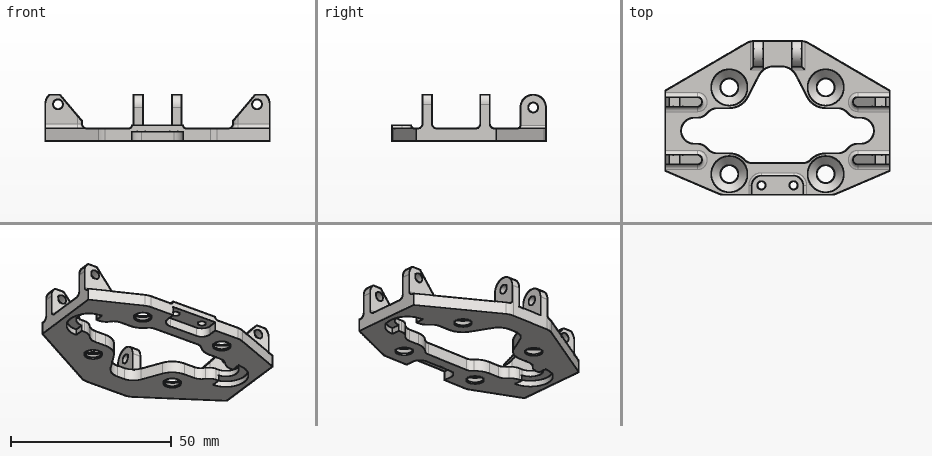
import cadquery as cq
import math

margin = 0.1

half_length = 35.0
back_y = 28.0
front_y = -20.0
side_half_width = 12.5
back_edge_half = 8.5
front_edge_half = 17.5
plate_thickness = 4.0
plate_corner_radius = 5.0

screw_x = 15.0
screw_y = 13.5
screw_hole_diameter = 5.5
screw_head_diameter = 11.3
screw_rim_depth = 0.5
screw_cone_depth = (screw_head_diameter - screw_hole_diameter) / 2

lug_thickness = 3.0
lug_top_z = 14.5
pin_hole_diameter = 3.0

side_lug_y = 9.0
side_lug_length = 11.5
side_lug_nose_radius = lug_thickness / 2
side_lug_fillet = 1.5
side_pin_inset = 4.0
side_pin_z = 11.5
side_lug_round_radius = 4.0
side_lug_top_end = 4.6
side_lug_nose_z = 6.3

back_lug_x = 6.0
back_lug_radius = 4.0
back_lug_fillet = 1.0
back_pin_y = back_y - back_lug_radius
back_pin_z = lug_top_z - back_lug_radius

pad_half_width = 8.0
pad_depth = 6.0
pad_corner_radius = 3.0
pad_top_z = 5.0
pad_fillet = 1.0
pad_pocket_height = 3.0
pad_hole_diameter = 2.5
pad_hole_x = pad_half_width - pad_corner_radius
pad_hole_y = front_y + pad_depth - pad_corner_radius

ledge_bottom_z = 2.0
ledge_radius = 7.0

slot_end_radius = 4.0
slot_end_x = 26.0
screw_wall_radius = 6.5
slot_mouth_x = 25.0
slot_mouth_radius = 4.0
slot_mouth_fillet = 4.0
screw_wall_fillet = 3.0
window_front_y = -10.0
window_back_y = 20.0
window_back_arc_x = 1.3
window_back_radius = 5.0


def mirrored(shape):
    """The shape together with its mirror image across X = 0."""
    return shape.union(shape.mirror("YZ"))


def fillet_base(part, x_range, y_range, radius):
    """Fillets the edges on the plate's top face whose centers lie within the two ranges."""
    edges = cq.selectors.BoxSelector(
        (x_range[0], y_range[0], plate_thickness - margin),
        (x_range[1], y_range[1], plate_thickness + margin),
    )
    return part.edges(edges).fillet(radius)


def plate_outline(height):
    corners = [
        (-half_length, -side_half_width),
        (-front_edge_half, front_y),
        (front_edge_half, front_y),
        (half_length, -side_half_width),
        (half_length, side_half_width),
        (back_edge_half, back_y),
        (-back_edge_half, back_y),
        (-half_length, side_half_width),
    ]
    outline = cq.Workplane("XY").polyline(corners).close().extrude(height)
    return outline.edges("|Z and (<Y or >Y)").fillet(plate_corner_radius)


def plate_stock():
    """Rectangular plate, trimmed to its outline once the raised features are on it."""
    return cq.Workplane("XY").box(
        2 * half_length, back_y - front_y, plate_thickness, centered=(True, False, False)
    ).translate((0, front_y, 0))


def side_lug(y):
    """Lug on the -X end, with a rounded outer corner and a sloping, round-nosed inner edge."""
    outer_x = -half_length
    pin_x = outer_x + side_pin_inset
    nose_x = outer_x + side_lug_length
    rise = lug_top_z - side_pin_z
    round_end_x = pin_x - math.sqrt(side_lug_round_radius**2 - rise**2)
    round_mid_angle = math.pi - math.asin(rise / side_lug_round_radius) / 2
    round_mid = (
        pin_x + side_lug_round_radius * math.cos(round_mid_angle),
        side_pin_z + side_lug_round_radius * math.sin(round_mid_angle),
    )
    profile = (
        cq.Workplane("XZ", origin=(0, y, 0))
        .moveTo(outer_x, 0)
        .lineTo(outer_x, side_pin_z)
        .threePointArc(round_mid, (round_end_x, lug_top_z))
        .lineTo(outer_x + side_lug_top_end, lug_top_z)
        .lineTo(nose_x, side_lug_nose_z)
        .lineTo(nose_x, 0)
        .close()
        .extrude(lug_thickness / 2, both=True)
    )
    footprint = (
        cq.Workplane("XY")
        .moveTo(outer_x, y - lug_thickness / 2)
        .lineTo(nose_x - side_lug_nose_radius, y - lug_thickness / 2)
        .threePointArc((nose_x, y), (nose_x - side_lug_nose_radius, y + lug_thickness / 2))
        .lineTo(outer_x, y + lug_thickness / 2)
        .close()
        .extrude(lug_top_z)
    )
    return profile.intersect(footprint)


def add_side_lugs(part):
    for y in (-side_lug_y, side_lug_y):
        part = part.union(mirrored(side_lug(y)))
    inner_x = half_length - side_lug_length - margin
    outer_x = half_length - margin
    for y in (-side_lug_y, side_lug_y):
        y_range = (y - lug_thickness, y + lug_thickness)
        part = fillet_base(part, (-outer_x, -inner_x), y_range, side_lug_fillet)
        part = fillet_base(part, (inner_x, outer_x), y_range, side_lug_fillet)
    pin_x = half_length - side_pin_inset
    pins = (
        cq.Workplane("XZ")
        .pushPoints([(-pin_x, side_pin_z), (pin_x, side_pin_z)])
        .circle(pin_hole_diameter / 2)
        .extrude(side_lug_y + lug_thickness, both=True)
    )
    return part.cut(pins)


def add_back_lugs(part):
    """One round-topped block, filleted onto the plate and then split into two lugs."""
    half_width = back_lug_x + lug_thickness / 2
    gap_half = back_lug_x - lug_thickness / 2
    front_face_y = back_y - 2 * back_lug_radius
    block = (
        cq.Workplane("YZ")
        .moveTo(front_face_y, 0)
        .lineTo(front_face_y, back_pin_z)
        .threePointArc((back_pin_y, lug_top_z), (back_y, back_pin_z))
        .lineTo(back_y, 0)
        .close()
        .extrude(half_width, both=True)
    )
    part = part.union(block)
    x_range = (-half_width - margin, half_width + margin)
    part = fillet_base(part, x_range, (front_face_y - margin, back_y - margin), back_lug_fillet)
    gap = cq.Workplane("XY", origin=(0, back_pin_y, plate_thickness)).box(
        2 * gap_half, 4 * back_lug_radius, lug_top_z, centered=(True, True, False)
    )
    pin = (
        cq.Workplane("YZ")
        .center(back_pin_y, back_pin_z)
        .circle(pin_hole_diameter / 2)
        .extrude(half_width, both=True)
    )
    return part.cut(gap).cut(pin)


def pad_block(height):
    return (
        cq.Workplane("XY")
        .box(2 * pad_half_width, pad_depth, height, centered=(True, False, False))
        .translate((0, front_y, 0))
        .edges("|Z and >Y")
        .fillet(pad_corner_radius)
    )


def add_front_pad(part):
    """Pad with a concave fillet as tall as its step, so it is filleted overheight and then leveled."""
    part = part.union(pad_block(2 * pad_top_z))
    x_range = (-pad_half_width - margin, pad_half_width + margin)
    y_range = (front_y + margin, front_y + pad_depth + margin)
    part = fillet_base(part, x_range, y_range, pad_fillet)
    part = part.cut(pad_block(2 * pad_top_z).translate((0, 0, pad_top_z)))
    holes = (
        cq.Workplane("XY")
        .pushPoints([(-pad_hole_x, pad_hole_y), (pad_hole_x, pad_hole_y)])
        .circle(pad_hole_diameter / 2)
        .extrude(pad_top_z)
    )
    return part.cut(pad_block(pad_pocket_height)).cut(holes)


def concave_fillet(wall_x, wall_y, wall_radius, edge_y, fillet_radius):
    """Ends of the fillet between a round wall and the edge y = edge_y it meets towards +X.

    Returns the point on the wall and the point on the edge.
    """
    center_y = edge_y + math.copysign(fillet_radius, edge_y - wall_y)
    reach = wall_radius + fillet_radius
    center_x = wall_x + math.sqrt(reach**2 - (center_y - wall_y) ** 2)
    share = wall_radius / reach
    on_wall = (wall_x + (center_x - wall_x) * share, wall_y + (center_y - wall_y) * share)
    return on_wall, (center_x, edge_y)


def window():
    """Opening bounded by tangent lines and arcs, drawn for X < 0 and mirrored."""
    screw_edge_y = screw_y - screw_wall_radius
    mouth_center_y = slot_end_radius + slot_mouth_radius
    front_wall, front_edge = concave_fillet(
        -screw_x, -screw_y, screw_wall_radius, window_front_y, screw_wall_fillet
    )
    mouth_wall, mouth_edge = concave_fillet(
        -slot_mouth_x, mouth_center_y, slot_mouth_radius, screw_edge_y, slot_mouth_fillet
    )

    dx = screw_x - window_back_arc_x
    dy = window_back_y - window_back_radius - screw_y
    tangent_turn = math.acos((screw_wall_radius + window_back_radius) / math.hypot(dx, dy))
    normal_angle = math.atan2(dy, dx) - tangent_turn
    normal = (math.cos(normal_angle), math.sin(normal_angle))
    slant_start = (-screw_x + screw_wall_radius * normal[0], screw_y + screw_wall_radius * normal[1])
    slant_end = (
        -window_back_arc_x - window_back_radius * normal[0],
        window_back_y - window_back_radius - window_back_radius * normal[1],
    )

    half = (
        cq.Workplane("XY")
        .moveTo(0, window_front_y)
        .lineTo(*front_edge)
        .tangentArcPoint(front_wall, relative=False)
        .tangentArcPoint((-screw_x, -screw_edge_y), relative=False)
        .lineTo(mouth_edge[0], -mouth_edge[1])
        .tangentArcPoint((mouth_wall[0], -mouth_wall[1]), relative=False)
        .tangentArcPoint((-slot_mouth_x, -slot_end_radius), relative=False)
        .lineTo(-slot_end_x, -slot_end_radius)
        .tangentArcPoint((-slot_end_x, slot_end_radius), relative=False)
        .lineTo(-slot_mouth_x, slot_end_radius)
        .tangentArcPoint(mouth_wall, relative=False)
        .tangentArcPoint(mouth_edge, relative=False)
        .lineTo(-screw_x, screw_edge_y)
        .tangentArcPoint(slant_start, relative=False)
        .lineTo(*slant_end)
        .tangentArcPoint((-window_back_arc_x, window_back_y), relative=False)
        .lineTo(0, window_back_y)
        .close()
        .extrude(lug_top_z)
    )
    return mirrored(half)


def slot_end_recess():
    """Half-round recess under the -X slot end, mirrored to the other end."""
    recess = (
        cq.Workplane("XY")
        .moveTo(-slot_end_x, -ledge_radius)
        .threePointArc((-slot_end_x - ledge_radius, 0), (-slot_end_x, ledge_radius))
        .close()
        .extrude(ledge_bottom_z)
    )
    return mirrored(recess)


def countersunk_hole(x, y):
    """Through hole with a conical seat sunk below a short cylindrical rim."""
    hole_radius = screw_hole_diameter / 2
    head_radius = screw_head_diameter / 2
    rim_z = plate_thickness - screw_rim_depth
    return (
        cq.Workplane("XZ")
        .polyline(
            [
                (0, 0),
                (hole_radius, 0),
                (hole_radius, rim_z - screw_cone_depth),
                (head_radius, rim_z),
                (head_radius, plate_thickness),
                (0, plate_thickness),
            ]
        )
        .close()
        .revolve(360, (0, 0), (0, 1))
        .translate((x, y, 0))
    )


part = plate_stock()
part = add_side_lugs(part)
part = add_back_lugs(part)
part = add_front_pad(part)
part = part.intersect(plate_outline(lug_top_z))
part = part.cut(window())
part = part.cut(slot_end_recess())
for screw_side_x in (-screw_x, screw_x):
    for screw_side_y in (-screw_y, screw_y):
        part = part.cut(countersunk_hole(screw_side_x, screw_side_y))

result = part